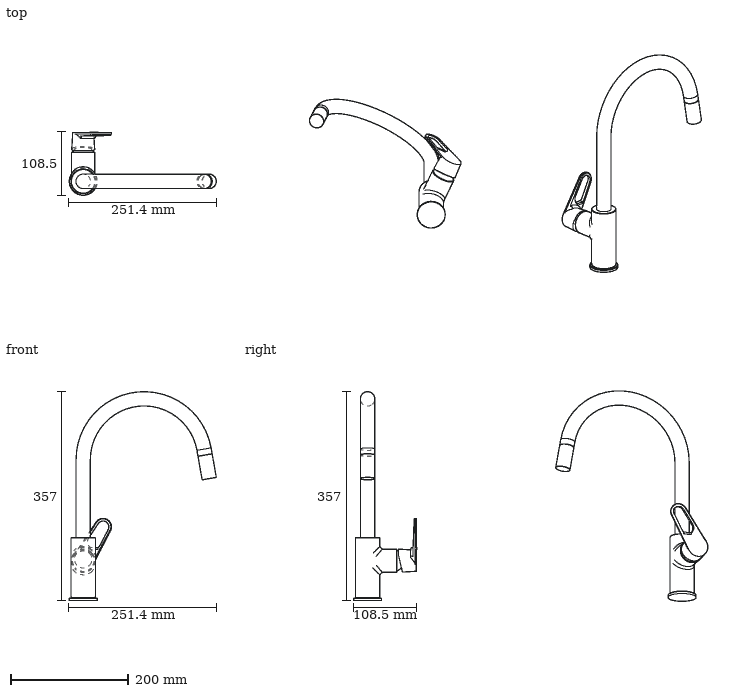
import cadquery as cq
import math

FLANGE_D = 48.0
FLANGE_H = 4.5
FLANGE_CHAMFER = 0.8
SEAM_D = 40.0
SEAM_H = 1.0
BODY_D = 42.0
BODY_TOP_Z = 107.5
BODY_CHAMFER = 0.8

TOTAL_HEIGHT = 357.04
TUBE_D = 24.8
BEND_R = 103.92
SPOUT_TILT = 10.0
COLLAR_LEN = 10.0
OUTLET_D = 25.0
OUTLET_LEN = 40.8
OUTLET_SEAM_D = 24.0
OUTLET_SEAM_LEN = 0.6
OUTLET_CHAMFER = 0.5

BRANCH_D = 40.0
BRANCH_Z = 68.2
BRANCH_END_Y = 50.0
BRANCH_CHAMFER = 0.8
BRANCH_BEVEL = 4.0
KNOB_GAP = 2.5
CORE_ROOT_R = 18.5
CORE_TIP_R = 11.5
CORE_LEN = 9.0

KNOB_FRONT_R = 20.0
KNOB_BACK_R = 18.2
LEVER_BACK_Y = 83.5
RELIEF_TOP_Z = 79.0
RELIEF_BOTTOM_Y = 59.5

TIP_X = 33.9
TIP_Z = 126.1
TIP_R = 14.5
BLADE_TIP_THICKNESS = 4.1
BLADE_ROOT_THICKNESS = 6.2
BLADE_ROOT_FILLET = 4.0
BLADE_RIM = 2.5
BLADE_EDGE_SLOPE = 30.0
WALL = 4.8
SLOT_END = 0.55
LIP_WIDTH = 14.0
LIP_HEIGHT = 3.0
LIP_Z = 89.0
LIP_RISE = 0.95

BODY_BOTTOM_Z = FLANGE_H + SEAM_H
BEND_Z = TOTAL_HEIGHT - TUBE_D / 2 - BEND_R
KNOB_FRONT_Y = BRANCH_END_Y + KNOB_GAP
BLADE_ROOT_Y = LEVER_BACK_Y - BLADE_ROOT_THICKNESS
TIP_TOP_Z = TIP_Z + TIP_R


def rod(diameter, length, start, direction):
    """Solid cylinder running from a start point along a direction."""
    solid = cq.Solid.makeCylinder(diameter / 2, length, cq.Vector(*start), cq.Vector(*direction))
    return cq.Workplane(solid)


def branch_cone(start_r, end_r, start_y, length):
    """Frustum on the branch axis."""
    start = cq.Vector(0, start_y, BRANCH_Z)
    return cq.Workplane(cq.Solid.makeCone(start_r, end_r, length, start, cq.Vector(0, 1, 0)))


def tapered_bar(low_center, low_r, high_center, high_r, back_y, depth, edge_slope=0):
    """Two circles in XZ joined by their outer tangents, made solid from back_y towards -Y."""
    dx = high_center[0] - low_center[0]
    dz = high_center[1] - low_center[1]
    heading = math.atan2(dz, dx)
    swing = math.acos((low_r - high_r) / math.hypot(dx, dz))

    def on_circle(center, radius, angle):
        return (center[0] + radius * math.cos(angle), center[1] + radius * math.sin(angle))

    return (
        cq.Workplane("XZ", origin=(0, back_y, 0))
        .moveTo(*on_circle(low_center, low_r, heading - swing))
        .lineTo(*on_circle(high_center, high_r, heading - swing))
        .threePointArc(
            on_circle(high_center, high_r, heading),
            on_circle(high_center, high_r, heading + swing),
        )
        .lineTo(*on_circle(low_center, low_r, heading + swing))
        .threePointArc(
            on_circle(low_center, low_r, heading + math.pi),
            on_circle(low_center, low_r, heading - swing),
        )
        .close()
        .extrude(depth, taper=edge_slope)
    )


def make_base():
    flange = rod(FLANGE_D, FLANGE_H, (0, 0, 0), (0, 0, 1)).faces(">Z").chamfer(FLANGE_CHAMFER)
    seam = rod(SEAM_D, BODY_BOTTOM_Z, (0, 0, 0), (0, 0, 1))
    return flange.union(seam)


def make_body():
    """Upright body with the side branch, bevelled along their joint."""
    upright = rod(BODY_D, BODY_TOP_Z - BODY_BOTTOM_Z, (0, 0, BODY_BOTTOM_Z), (0, 0, 1))
    branch = rod(BRANCH_D, BRANCH_END_Y, (0, 0, BRANCH_Z), (0, 1, 0))
    body = upright.union(branch)
    body = body.edges("not(%LINE or %CIRCLE)").chamfer(BRANCH_BEVEL)
    body = body.faces(">Z").edges().chamfer(BODY_CHAMFER)
    return body.faces(">Y").edges().chamfer(BRANCH_CHAMFER)


def make_spout():
    riser = rod(TUBE_D, BEND_Z - BODY_BOTTOM_Z, (0, 0, BODY_BOTTOM_Z), (0, 0, 1))
    bend = (
        cq.Workplane("XY", origin=(0, 0, BEND_Z))
        .circle(TUBE_D / 2)
        .revolve(180 - SPOUT_TILT, (BEND_R, 0, 0), (BEND_R, 1, 0))
    )
    tilt = math.radians(SPOUT_TILT)
    heading = (math.sin(tilt), 0, -math.cos(tilt))
    bend_end = (BEND_R * (1 + math.cos(tilt)), 0, BEND_Z + BEND_R * math.sin(tilt))

    def along(distance):
        return tuple(p + distance * h for p, h in zip(bend_end, heading))

    outlet_start = COLLAR_LEN + OUTLET_SEAM_LEN
    collar = rod(OUTLET_D, COLLAR_LEN, bend_end, heading)
    seam = rod(OUTLET_SEAM_D, outlet_start, bend_end, heading)
    outlet = rod(OUTLET_D, OUTLET_LEN, along(outlet_start), heading).faces("<Z").chamfer(OUTLET_CHAMFER)
    return riser.union(bend).union(collar).union(seam).union(outlet)


def make_knob():
    """Tapered knob with a slanted relief under its front edge, and the core it turns on."""
    knob = branch_cone(KNOB_FRONT_R, KNOB_BACK_R, KNOB_FRONT_Y, LEVER_BACK_Y - KNOB_FRONT_Y)
    relief_bottom_z = BRANCH_Z - KNOB_FRONT_R
    relief = (
        cq.Workplane("YZ")
        .moveTo(KNOB_FRONT_Y, RELIEF_TOP_Z)
        .lineTo(RELIEF_BOTTOM_Y, relief_bottom_z)
        .lineTo(KNOB_FRONT_Y, relief_bottom_z)
        .close()
        .extrude(KNOB_FRONT_R, both=True)
    )
    core = branch_cone(CORE_ROOT_R, CORE_TIP_R, BRANCH_END_Y, CORE_LEN)
    return knob.cut(relief).union(core)


def make_root_flare():
    """Ring around the knob with a concave flare that blends it into the blade."""
    flare_start_y = BLADE_ROOT_Y - BLADE_ROOT_FILLET
    knob_slope = (KNOB_FRONT_R - KNOB_BACK_R) / (LEVER_BACK_Y - KNOB_FRONT_Y)
    knob_r = KNOB_BACK_R + knob_slope * (LEVER_BACK_Y - flare_start_y)
    flare_r = knob_r + BLADE_ROOT_FILLET
    inner_r = knob_r - BLADE_ROOT_FILLET
    return (
        cq.Workplane("XY", origin=(0, 0, BRANCH_Z))
        .moveTo(inner_r, flare_start_y)
        .lineTo(knob_r, flare_start_y)
        .radiusArc((flare_r, BLADE_ROOT_Y), -BLADE_ROOT_FILLET)
        .lineTo(flare_r, LEVER_BACK_Y)
        .lineTo(inner_r, LEVER_BACK_Y)
        .close()
        .revolve(360, (0, 0, 0), (0, 1, 0))
    )


def make_blade():
    """Unslotted lever blade, the cutter for its finger slot, and the lip at the slot's lower end."""
    knob_center = (0, BRANCH_Z)
    tip_center = (TIP_X, TIP_Z)
    slot_low = (TIP_X * SLOT_END, BRANCH_Z + (TIP_Z - BRANCH_Z) * SLOT_END)
    slot_low_r = KNOB_BACK_R + (TIP_R - KNOB_BACK_R) * SLOT_END - WALL

    blade_circles = (knob_center, KNOB_BACK_R, tip_center, TIP_R)
    slot_circles = (slot_low, slot_low_r, tip_center, TIP_R - WALL)
    full_depth = BLADE_ROOT_THICKNESS + BLADE_ROOT_FILLET
    rim = tapered_bar(*blade_circles, LEVER_BACK_Y, BLADE_RIM)
    front = tapered_bar(*blade_circles, LEVER_BACK_Y - BLADE_RIM, full_depth - BLADE_RIM, BLADE_EDGE_SLOPE)
    slot = tapered_bar(*slot_circles, LEVER_BACK_Y, full_depth)

    profile = (
        cq.Workplane("YZ")
        .polyline(
            [
                (LEVER_BACK_Y, BRANCH_Z),
                (LEVER_BACK_Y, TIP_TOP_Z),
                (LEVER_BACK_Y - BLADE_TIP_THICKNESS, TIP_TOP_Z),
                (BLADE_ROOT_Y, BRANCH_Z + KNOB_BACK_R),
                (BLADE_ROOT_Y, BRANCH_Z),
            ]
        )
        .close()
        .extrude(TIP_X + TIP_R, both=True)
    )
    lip = (
        cq.Workplane("XZ", origin=(slot_low[0], BLADE_ROOT_Y, LIP_Z))
        .slot2D(LIP_WIDTH, LIP_HEIGHT)
        .extrude(BLADE_ROOT_Y - LEVER_BACK_Y - LIP_RISE)
    )
    return rim.union(front).intersect(profile.union(make_root_flare())), slot, lip


base = make_base()
body = make_body()
blade, finger_slot, slot_lip = make_blade()
lever = make_knob().union(blade).cut(finger_slot).union(slot_lip)

result = base.union(body).union(make_spout()).union(lever)